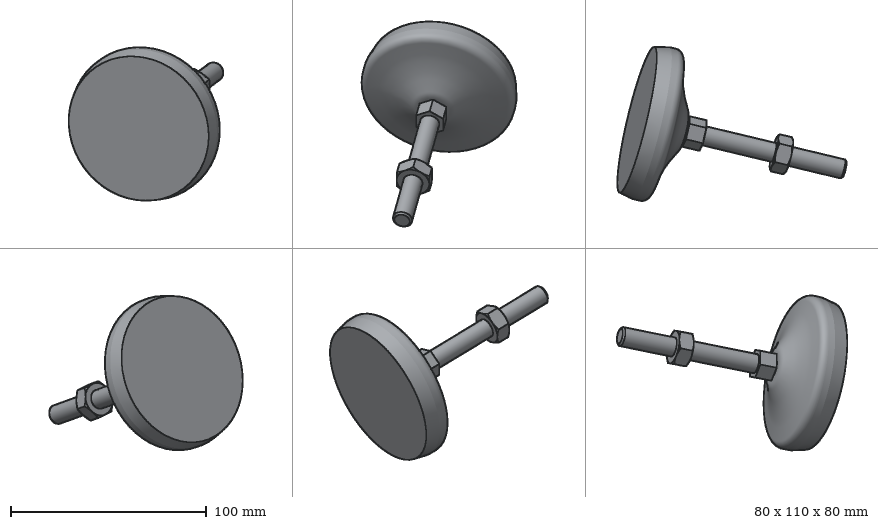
import cadquery as cq
import math

total_length = 110.0
stud_radius = 10.0 / 2
stud_chamfer = 1.0

foot_radius = 80.0 / 2
sole_radius = 38.3
taper_height = 7.5
rim_height = 11.0
shoulder_fillet = 4.0
shoulder_slope = 8.0
flare_top_radius = 11.4
flare_top_height = 24.0
foot_height = 25.0

wrench_start = 26.0
wrench_length = 9.0
wrench_flats = 14.0
nut_start = 72.5
nut_length = 8.0
nut_flats = 16.9
nut_chamfer_angle = 30.0


def make_foot():
    """Revolved foot: tapered sole, rounded shoulder, concave flare and rounded crest."""
    slope = math.radians(shoulder_slope)
    shoulder_point = (
        foot_radius - shoulder_fillet * (1 - math.sin(slope)),
        rim_height + shoulder_fillet * math.cos(slope),
    )
    flare_rise = flare_top_height - shoulder_point[1]
    flare_run = shoulder_point[0] - flare_top_radius
    crest_slope = 2 * math.atan2(flare_rise, flare_run) - slope
    crest_run = (foot_height - flare_top_height) / math.tan(crest_slope / 2)
    return (
        cq.Workplane("XY")
        .lineTo(sole_radius, 0)
        .lineTo(foot_radius, taper_height)
        .lineTo(foot_radius, rim_height)
        .tangentArcPoint(shoulder_point, relative=False)
        .tangentArcPoint((flare_top_radius, flare_top_height), relative=False)
        .tangentArcPoint((flare_top_radius - crest_run, foot_height), relative=False)
        .lineTo(0, foot_height)
        .close()
        .revolve(360, (0, 0), (0, 1))
    )


def make_stud():
    """Round stud from inside the foot to the chamfered tip."""
    embed_height = foot_height / 2
    return (
        cq.Workplane("XZ", origin=(0, embed_height, 0))
        .circle(stud_radius)
        .extrude(embed_height - total_length)
        .faces(">Y")
        .chamfer(stud_chamfer)
    )


def make_hexagon(start, length, flats):
    """Hexagonal prism along Y with its corners pointing up and down in Z."""
    corner_diameter = flats / math.cos(math.radians(30))
    return (
        cq.Workplane("XZ", origin=(0, start, 0))
        .transformed(rotate=(0, 0, 90))
        .polygon(6, corner_diameter)
        .extrude(-length)
    )


def make_nut():
    """Lock nut whose corners are turned conically at both ends."""
    flat_radius = nut_flats / 2
    corner_radius = flat_radius / math.cos(math.radians(30))
    chamfer_height = (corner_radius - flat_radius) * math.tan(math.radians(nut_chamfer_angle))
    nut_end = nut_start + nut_length
    envelope = (
        cq.Workplane("XY")
        .moveTo(0, nut_start)
        .lineTo(flat_radius, nut_start)
        .lineTo(corner_radius, nut_start + chamfer_height)
        .lineTo(corner_radius, nut_end - chamfer_height)
        .lineTo(flat_radius, nut_end)
        .lineTo(0, nut_end)
        .close()
        .revolve(360, (0, nut_start), (0, nut_end))
    )
    return make_hexagon(nut_start, nut_length, nut_flats).intersect(envelope)


wrench_hexagon = make_hexagon(wrench_start, wrench_length, wrench_flats)
result = make_foot().union(make_stud()).union(wrench_hexagon).union(make_nut())